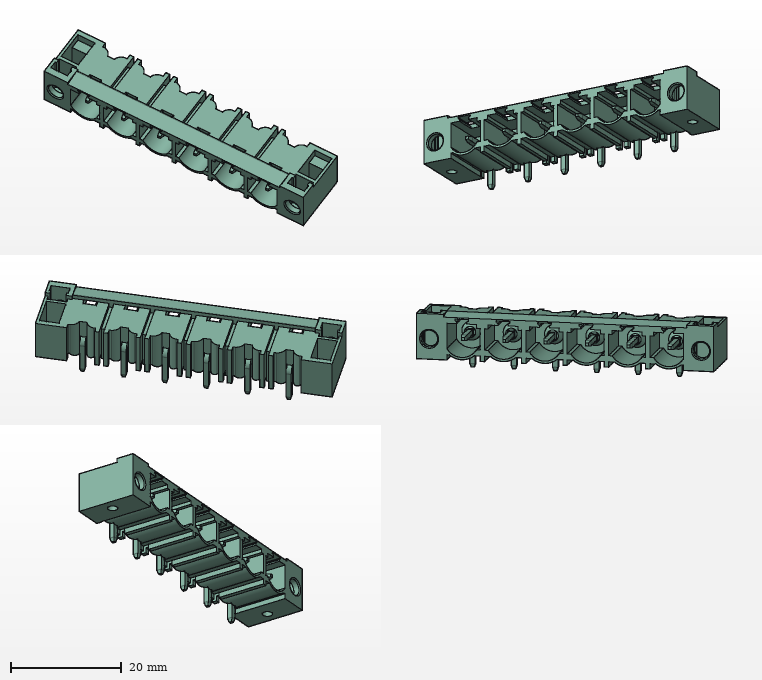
import cadquery as cq
import math

LENGTH = 54.9
DEPTH = 11.75
FULL_HEIGHT = 8.4
DECK_HEIGHT = 7.65

CELLS = 6
PITCH = 7.65
GAP = 0.8
CELL_HALF_WIDTH = (PITCH - GAP) / 2
CELL_BOTTOM = 1.0
CELL_BACK = 10.75
WEB_BACK = 9.7
GAP_FLOOR = 6.8
BELLY_RADIUS = 3.6
CELL_CENTRES = [(i - (CELLS - 1) / 2) * PITCH for i in range(CELLS)]
WEB_CENTRES = [x + PITCH / 2 for x in CELL_CENTRES[:-1]]

CAVITY_DEPTH = 8.5
CAVITY_RADIUS = 3.2
CAVITY_HALF_WIDTH = 2.75
CAVITY_TOP = 6.8
CAVITY_SHOULDER = 6.1
CAVITY_LEDGE = 2.15

LEDGE_HALF_LENGTH = 22.45
LEDGE_BACK = 3.2
RIDGE_WIDTH = 0.15
LEDGE_FRONT_HEIGHT = 7.9

SLOT_TOP_HALF_WIDTH = 1.25
SLOT_HALF_WIDTH = 0.95
SLOT_BEND_HEIGHTS = (7.15, 7.45)
SLOT_DEPTH = 4.15

NOTCH_HALF_WIDTH = 2.6
NOTCH_THROAT_HALF_WIDTH = 0.7
NOTCH_FLOOR = 9.45
NOTCH_CURVE_MID = (1.15, 10.25)

EAR_INNER = CELL_CENTRES[-1] + CAVITY_HALF_WIDTH
EAR_STEP = 3.5
EAR_AXIS_INSET = 2.35
EAR_AXIS = LENGTH / 2 - EAR_AXIS_INSET
POCKET_WIDTH = 3.6
POCKET_FLOOR = 1.0
REAR_POCKET_Y = (5.0, 10.75)
POCKET_STEP_Y = 8.8
POCKET_STEP_HEIGHT = 6.05
BOARD_HOLE_Y = 6.05
BOARD_HOLE_RADIUS = 0.95
NUT_POCKET_Y = (1.3, 4.35)
NUT_POCKET_WIDTH = 3.5
NUT_NECK_Y = 2.8
NUT_NECK_WIDTH = 2.95
SCREW_HOLE_RADIUS = 1.55
SCREW_HOLE_CHAMFER = 0.2

PIN_WIDTH = 1.0
PIN_AXIS_HEIGHT = 3.8
PIN_FRONT = 1.1
PIN_LEG_Y = 9.9
PIN_BOTTOM = -3.2
PIN_BEND_RADIUS = 1.0
BAR_TIP_LENGTH = 1.1
LEG_TIP_LENGTH = 0.7
TIP_WIDTH = 0.55

COLLAR_RADII = (1.75, 1.05, 0.7)
COLLAR_LENGTH = 1.35
COLLAR_NOSE = 0.15
COLLAR_PAD_WIDTH = 1.4


def block(x_range, y_range, z_range):
    """Box between the given limits."""
    size = [high - low for low, high in (x_range, y_range, z_range)]
    corner = (x_range[0], y_range[0], z_range[0])
    return cq.Workplane("XY").box(*size, centered=False).translate(corner)


def centred_block(x, width, y_range, z_range):
    """Box of the given width centred on x."""
    return block((x - width / 2, x + width / 2), y_range, z_range)


def front_plane():
    """XZ sketch plane on the front face; negative extrusions run toward +Y."""
    return cq.Workplane("XZ")


def make_belly(x):
    """Round underside of a cell, below its flat bottom."""
    half_chord = math.sqrt(BELLY_RADIUS**2 - (PIN_AXIS_HEIGHT - CELL_BOTTOM) ** 2)
    return (
        front_plane()
        .moveTo(x - half_chord, CELL_BOTTOM)
        .threePointArc((x, PIN_AXIS_HEIGHT - BELLY_RADIUS), (x + half_chord, CELL_BOTTOM))
        .close()
        .extrude(-CELL_BACK)
    )


def make_cavity(x):
    """Plug cavity with a round floor and a narrower top."""
    arc_end = PIN_AXIS_HEIGHT - math.sqrt(CAVITY_RADIUS**2 - CAVITY_HALF_WIDTH**2)
    upper = (
        front_plane()
        .moveTo(x - CAVITY_HALF_WIDTH, arc_end)
        .threePointArc((x, PIN_AXIS_HEIGHT - CAVITY_RADIUS), (x + CAVITY_HALF_WIDTH, arc_end))
        .lineTo(x + CAVITY_HALF_WIDTH, CAVITY_TOP)
        .lineTo(x - CAVITY_HALF_WIDTH, CAVITY_TOP)
        .close()
        .extrude(-CAVITY_DEPTH)
    )
    lower = centred_block(x, 2 * CELL_HALF_WIDTH, (0, CAVITY_DEPTH), (CAVITY_LEDGE, CAVITY_SHOULDER))
    return upper.union(lower)


def make_collar(x):
    """Conical collar with a blunt nose and a square end pad, standing on the cavity's back wall."""
    base, shoulder, nose = COLLAR_RADII
    nose_y = CAVITY_DEPTH - COLLAR_LENGTH
    profile = [
        (0, CAVITY_DEPTH),
        (base, CAVITY_DEPTH),
        (shoulder, nose_y + COLLAR_NOSE),
        (nose, nose_y),
        (0, nose_y),
    ]
    collar = cq.Workplane("XY").polyline(profile).close().revolve(360, (0, 0), (0, 1))
    half_pad = COLLAR_PAD_WIDTH / 2
    pad = centred_block(0, COLLAR_PAD_WIDTH, (nose_y, CAVITY_DEPTH), (-half_pad, half_pad))
    return collar.union(pad).translate((x, 0, PIN_AXIS_HEIGHT))


def make_coding_slot(x):
    """Slot from the cavity's top up to the deck, wider at the top."""
    low_bend, high_bend = SLOT_BEND_HEIGHTS
    right_side = [
        (SLOT_HALF_WIDTH, CAVITY_TOP),
        (SLOT_HALF_WIDTH, low_bend),
        (SLOT_TOP_HALF_WIDTH, high_bend),
        (SLOT_TOP_HALF_WIDTH, DECK_HEIGHT),
    ]
    left_side = [(-half, z) for half, z in reversed(right_side)]
    outline = [(x + dx, z) for dx, z in right_side + left_side]
    return front_plane().polyline(outline).close().extrude(-SLOT_DEPTH)


def make_notch(x):
    """Upright notch with rounded flanks that clears the pin's leg."""
    mid_x, mid_y = NOTCH_CURVE_MID
    return (
        cq.Workplane("XY")
        .moveTo(x - NOTCH_HALF_WIDTH, DEPTH)
        .lineTo(x - NOTCH_HALF_WIDTH, CELL_BACK)
        .threePointArc((x - mid_x, mid_y), (x - NOTCH_THROAT_HALF_WIDTH, NOTCH_FLOOR))
        .lineTo(x + NOTCH_THROAT_HALF_WIDTH, NOTCH_FLOOR)
        .threePointArc((x + mid_x, mid_y), (x + NOTCH_HALF_WIDTH, CELL_BACK))
        .lineTo(x + NOTCH_HALF_WIDTH, DEPTH)
        .close()
        .extrude(DECK_HEIGHT)
    )


def make_ledge():
    """Front ledge whose top slopes down from a narrow ridge to the front."""
    profile = [
        (0, DECK_HEIGHT),
        (0, LEDGE_FRONT_HEIGHT),
        (LEDGE_BACK - RIDGE_WIDTH, FULL_HEIGHT),
        (LEDGE_BACK, FULL_HEIGHT),
        (LEDGE_BACK, DECK_HEIGHT),
    ]
    return cq.Workplane("YZ").polyline(profile).close().extrude(LEDGE_HALF_LENGTH, both=True)


def make_cell_row():
    """Cells joined by webs, with rear posts, cavities, coding slots and notches."""
    row = centred_block(0, 2 * LEDGE_HALF_LENGTH, (0, WEB_BACK), (CELL_BOTTOM, DECK_HEIGHT))
    row = row.union(make_ledge())
    for x in WEB_CENTRES:
        row = row.union(centred_block(x, GAP, (0, WEB_BACK), (0, CELL_BOTTOM)))
        row = row.cut(centred_block(x, GAP, (LEDGE_BACK, WEB_BACK), (GAP_FLOOR, DECK_HEIGHT)))

    post_width = CELL_HALF_WIDTH - NOTCH_HALF_WIDTH
    post_offset = (CELL_HALF_WIDTH + NOTCH_HALF_WIDTH) / 2
    for x in CELL_CENTRES:
        back = centred_block(x, 2 * CELL_HALF_WIDTH, (WEB_BACK, CELL_BACK), (CELL_BOTTOM, DECK_HEIGHT))
        row = row.union(back).union(make_belly(x))
        for post_x in (x - post_offset, x + post_offset):
            row = row.union(centred_block(post_x, post_width, (CELL_BACK, DEPTH), (0, DECK_HEIGHT)))
        row = row.cut(make_cavity(x)).cut(make_coding_slot(x)).cut(make_notch(x))
        row = row.union(make_collar(x))
    return row


def make_ear():
    """Right-hand ear with a board-screw pocket, a nut pocket and a front screw hole."""
    x_range = (EAR_INNER, LENGTH / 2)
    ear = block(x_range, (0, DEPTH), (0, DECK_HEIGHT))
    raised_range = (LEDGE_HALF_LENGTH, LENGTH / 2)
    ear = ear.union(block(raised_range, (0, EAR_STEP), (DECK_HEIGHT, FULL_HEIGHT)))

    pocket_z = (POCKET_FLOOR, FULL_HEIGHT)
    rear_start, rear_end = REAR_POCKET_Y
    ear = ear.cut(centred_block(EAR_AXIS, POCKET_WIDTH, (rear_start, POCKET_STEP_Y), pocket_z))
    step_z = (POCKET_STEP_HEIGHT, FULL_HEIGHT)
    ear = ear.cut(centred_block(EAR_AXIS, POCKET_WIDTH, (POCKET_STEP_Y, rear_end), step_z))
    board_hole = cq.Workplane("XY").center(EAR_AXIS, BOARD_HOLE_Y).circle(BOARD_HOLE_RADIUS)
    ear = ear.cut(board_hole.extrude(POCKET_FLOOR))

    nut_start, nut_end = NUT_POCKET_Y
    ear = ear.cut(centred_block(EAR_AXIS, NUT_POCKET_WIDTH, (nut_start, NUT_NECK_Y), pocket_z))
    ear = ear.cut(centred_block(EAR_AXIS, NUT_NECK_WIDTH, (NUT_NECK_Y, EAR_STEP), pocket_z))
    ear = ear.cut(centred_block(EAR_AXIS, POCKET_WIDTH, (EAR_STEP, nut_end), pocket_z))

    mouth_radius = SCREW_HOLE_RADIUS + SCREW_HOLE_CHAMFER
    hole_profile = [
        (0, 0),
        (mouth_radius, 0),
        (SCREW_HOLE_RADIUS, SCREW_HOLE_CHAMFER),
        (SCREW_HOLE_RADIUS, nut_start),
        (0, nut_start),
    ]
    screw_hole = cq.Workplane("XY").polyline(hole_profile).close().revolve(360, (0, 0), (0, 1))
    return ear.cut(screw_hole.translate((EAR_AXIS, 0, PIN_AXIS_HEIGHT)))


def make_tip(plane, length):
    """Tapered square end of the given length, along the normal of the plane."""
    return (
        cq.Workplane(plane)
        .rect(PIN_WIDTH, PIN_WIDTH)
        .workplane(offset=length)
        .rect(TIP_WIDTH, TIP_WIDTH)
        .loft()
    )


def make_pin(x):
    """Square pin: a contact bar along Y, a rounded bend and a leg pointing down."""
    half = PIN_WIDTH / 2
    outer = PIN_BEND_RADIUS + half
    inner = PIN_BEND_RADIUS - half
    bend_y = PIN_LEG_Y - PIN_BEND_RADIUS
    bend_z = PIN_AXIS_HEIGHT - PIN_BEND_RADIUS
    bar_start = PIN_FRONT + BAR_TIP_LENGTH
    leg_end = PIN_BOTTOM + LEG_TIP_LENGTH
    diagonal = math.sqrt(0.5)
    wire = (
        cq.Workplane("YZ", origin=(x, 0, 0))
        .moveTo(bar_start, PIN_AXIS_HEIGHT + half)
        .lineTo(bend_y, PIN_AXIS_HEIGHT + half)
        .threePointArc(
            (bend_y + outer * diagonal, bend_z + outer * diagonal), (PIN_LEG_Y + half, bend_z)
        )
        .lineTo(PIN_LEG_Y + half, leg_end)
        .lineTo(PIN_LEG_Y - half, leg_end)
        .lineTo(PIN_LEG_Y - half, bend_z)
        .threePointArc(
            (bend_y + inner * diagonal, bend_z + inner * diagonal), (bend_y, PIN_AXIS_HEIGHT - half)
        )
        .lineTo(bar_start, PIN_AXIS_HEIGHT - half)
        .close()
        .extrude(half, both=True)
    )
    front_end = cq.Plane((x, bar_start, PIN_AXIS_HEIGHT), (1, 0, 0), (0, -1, 0))
    leg_tip = cq.Plane((x, PIN_LEG_Y, leg_end), (1, 0, 0), (0, 0, -1))
    return wire.union(make_tip(front_end, BAR_TIP_LENGTH)).union(make_tip(leg_tip, LEG_TIP_LENGTH))


def make_housing(pins):
    """One-piece housing with a matching passage for every pin."""
    right_ear = make_ear()
    left_ear = right_ear.mirror("YZ")
    housing = make_cell_row().union(right_ear).union(left_ear)
    for pin in pins:
        housing = housing.cut(pin)
    return housing


pins = [make_pin(x) for x in CELL_CENTRES]
housing = make_housing(pins)

result = cq.Compound.makeCompound([housing.val(), *[pin.val() for pin in pins]])